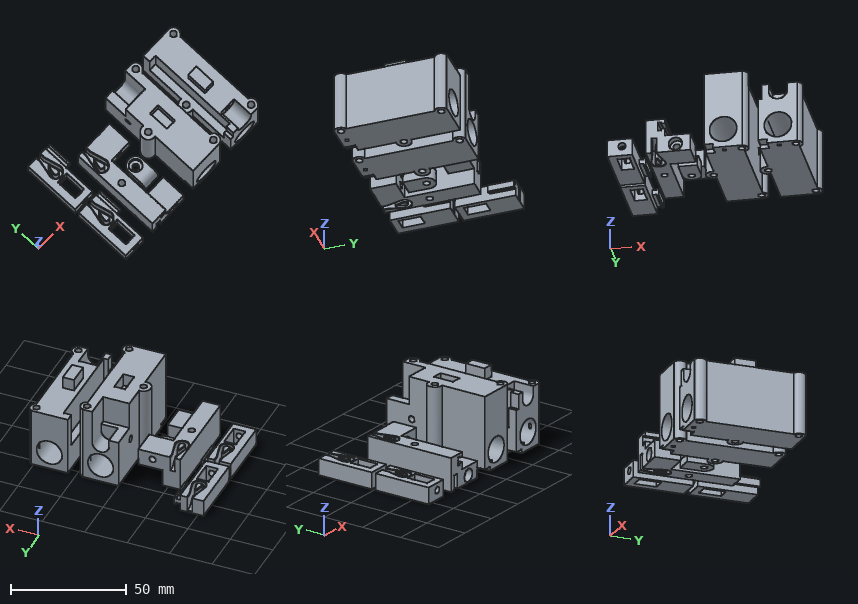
import cadquery as cq
import math

SCREW_DIA = 3.0
HEAD_DIA = 6.0
HALF_STEP = 7.95

CHANNEL_DEPTH = 7.0
CHANNEL_CENTRE = 10.4
CHANNEL_RADIUS = 3.0
NECK_WIDTH = 2.2
NECK_LENGTH = 2.6
ISLAND_RADIUS = 1.45
ISLAND_TIP = 6.0
ISLAND_TIP_RADIUS = 0.4
CHANNEL_CHAMFER = 0.25
MOUTH_OVERRUN = 0.85

CLIP_WIDTH = 11.0
CLIP_LENGTH = 27.95
CLIP_PITCH = 30.0
CLIP_COUNT = 2
CLIP_AXIS_X = 6.5
CLIP_BORE_DIA = 3.2
CLIP_BORE_Z = 4.5
WINDOW_WIDTH = 5.5
WINDOW_FRONT = 3.4
WINDOW_LENGTH = 10.3
RAIL_LENGTH = 12.0
RAIL_DEPTH = 2.9
RAIL_FLANGE = 1.0
RAIL_WEB_HEIGHT = 2.1
RAIL_FLANGE_HEIGHT = 3.3
RAIL_Z = 4.45

CARRIAGE_X = 16.9
CARRIAGE_WIDTH = 19.75
CARRIAGE_LENGTH = 44.0
CARRIAGE_HEIGHT = 2 * HALF_STEP + 0.1
CARRIAGE_WALL = 8.5
FRONT_BLOCK_LENGTH = 12.05
BACK_BLOCK_LENGTH = 12.0
CARRIAGE_CHANNEL_X = 20.6
CARRIAGE_SCREW_X = 21.0
BLOCK_HOLE_X = 30.0
BACK_HOLE_Z = 12.5
FRONT_HOLE_Z = 3.5
FRONT_RECESS_DEPTH = 3.4
SLOT_LENGTH = RAIL_LENGTH
SLOT_DEPTH = 3.1
SLOT_FLANGE = 1.4
SLOT_WEB_HEIGHT = 2.6
SLOT_FLANGE_HEIGHT = 4.0
SLOT_Z = 12.6

LEVER_X = 28.4
LEVER_WIDTH = 8.3
LEVER_FRONT = 15.05
LEVER_HEIGHT = 6.0
LEVER_NOSE_RADIUS = 3.9
LEVER_HOLE_Y = 24.6
LEVER_RECESS_DEPTH = 3.0

HOUSING_LENGTH = 52.0
BORE_DIA = 12.0
BORE_Z = 8.55
DRAIN_DIA = 1.6
DRAIN_Y = 3.1
LUG_RADIUS = 3.0
BOSS_RADIUS = 3.5
BOSS_Y = 26.0
NOTCH_WIDTH = 3.9
NOTCH_LENGTH = 5.1
NOTCH_HEIGHT = 1.9
CRADLE_DROP = 3.3
KEY_Y = 21.0
KEY_LENGTH = 10.0

TALL_X = 42.6
TALL_WIDTH = 16.9
TALL_HEIGHT = 36.0
TALL_AXIS_X = 51.0
TALL_LUG_X = 58.65
TALL_BOSS_X = 42.0
CORNER_CUT_Y = 40.0
CORNER_CUT_Z = 23.0
TALL_CRADLE_RADIUS = 3.9
TALL_CRADLE_LENGTH = 9.8
KEY_POCKET_WIDTH = 5.05
KEY_POCKET_DEPTH = 6.0
SIDE_HOLE_Y = 38.6
SIDE_HOLE_Z = 16.3

SHORT_X = 66.4
SHORT_WIDTH = 17.3
SHORT_HEIGHT = 28.5
SHORT_AXIS_X = 75.15
SHORT_LUG_X = 82.5
SHORT_BOSS_X = 66.0
KEY_WIDTH = 5.2
KEY_HEIGHT = 5.6
SHORT_CRADLE_RADIUS = 4.1
SHORT_CRADLE_LENGTH = 10.1
CRADLE_HOLE_DIA = 2.5
CRADLE_HOLE_DEPTH = 10.0
SIDE_SLOT_FRONT = 4.1
SIDE_SLOT_BACK = 48.05
SIDE_SLOT_WIDTH = 3.7
SIDE_SLOT_FLOOR = 12.5
SLOT_ENTRY_WIDTH = 1.6
SLOT_ENTRY_FLOOR = 21.55


def box(x, y, z, dx, dy, dz):
    """Box with its lowest corner at (x, y, z)."""
    return cq.Workplane("XY").box(dx, dy, dz, centered=False).translate((x, y, z))


def rod_x(radius, x, y, z, length):
    """Cylinder running toward +X from (x, y, z)."""
    return cq.Workplane("YZ").circle(radius).extrude(length).translate((x, y, z))


def rod_y(radius, x, y, z, length):
    """Cylinder running toward +Y from (x, y, z)."""
    return cq.Workplane("XZ").circle(radius).extrude(-length).translate((x, y, z))


def rod_z(radius, x, y, z, length):
    """Cylinder running toward +Z from (x, y, z)."""
    return cq.Workplane("XY").circle(radius).extrude(length).translate((x, y, z))


def flare_tangent(start_x, start_y):
    """Point where the channel's flared side, drawn from the neck, touches its round end."""
    rise = start_y + CHANNEL_CENTRE
    angle = math.atan2(rise, start_x) - math.acos(CHANNEL_RADIUS / math.hypot(start_x, rise))
    return CHANNEL_RADIUS * math.cos(angle), CHANNEL_RADIUS * math.sin(angle) - CHANNEL_CENTRE


def channel_island():
    """Drop with a large round end and a small round tip, its sides tangent to both."""
    tip_centre = -ISLAND_TIP - ISLAND_TIP_RADIUS
    lean = math.asin((ISLAND_RADIUS - ISLAND_TIP_RADIUS) / (tip_centre + CHANNEL_CENTRE))
    tip_x = ISLAND_TIP_RADIUS * math.cos(lean)
    tip_y = tip_centre + ISLAND_TIP_RADIUS * math.sin(lean)
    round_x = ISLAND_RADIUS * math.cos(lean)
    round_y = ISLAND_RADIUS * math.sin(lean) - CHANNEL_CENTRE
    return (
        cq.Workplane("XY")
        .workplane(offset=-CHANNEL_DEPTH)
        .moveTo(-tip_x, tip_y)
        .lineTo(-round_x, round_y)
        .threePointArc((0, -CHANNEL_CENTRE - ISLAND_RADIUS), (round_x, round_y))
        .lineTo(tip_x, tip_y)
        .threePointArc((0, -ISLAND_TIP), (-tip_x, tip_y))
        .close()
        .extrude(CHANNEL_DEPTH)
        .faces(">Z")
        .chamfer(CHANNEL_CHAMFER)
    )


def groove_outline(z):
    """Keyhole outline of the channel at height z, open past the mouth."""
    half_neck = NECK_WIDTH / 2
    side_x, side_y = flare_tangent(half_neck, -NECK_LENGTH)
    return (
        cq.Workplane("XY")
        .workplane(offset=z)
        .moveTo(-half_neck, MOUTH_OVERRUN)
        .lineTo(-half_neck, -NECK_LENGTH)
        .lineTo(-side_x, side_y)
        .threePointArc((0, -CHANNEL_CENTRE - CHANNEL_RADIUS), (side_x, side_y))
        .lineTo(half_neck, -NECK_LENGTH)
        .lineTo(half_neck, MOUTH_OVERRUN)
        .close()
    )


def teardrop_channel():
    """Cutter with its mouth at y=0, running toward -Y, sunk from z=0 downward."""
    groove = groove_outline(-CHANNEL_DEPTH).extrude(CHANNEL_DEPTH)
    rim = groove_outline(-CHANNEL_CHAMFER).extrude(CHANNEL_CHAMFER, taper=-45)
    return groove.union(rim).cut(channel_island())


def tee_bar(root_x, z, length, depth, flange, web_height, flange_height):
    """T section bar along Y from y=0; the web starts at root_x, the flange is at the far end.

    A negative depth makes the bar point toward -X.
    """
    side = math.copysign(1, depth)
    neck_x = root_x + depth - side * flange
    tip_x = root_x + depth
    return (
        cq.Workplane("XZ")
        .moveTo(root_x, z - web_height / 2)
        .lineTo(neck_x, z - web_height / 2)
        .lineTo(neck_x, z - flange_height / 2)
        .lineTo(tip_x, z - flange_height / 2)
        .lineTo(tip_x, z + flange_height / 2)
        .lineTo(neck_x, z + flange_height / 2)
        .lineTo(neck_x, z + web_height / 2)
        .lineTo(root_x, z + web_height / 2)
        .close()
        .extrude(-length)
    )


def make_clip(front_y):
    """Clip with a T rail on its +X side, a window and a teardrop channel."""
    clip = box(0, 0, 0, CLIP_WIDTH, CLIP_LENGTH, HALF_STEP)
    rail = tee_bar(CLIP_WIDTH, RAIL_Z, RAIL_LENGTH, RAIL_DEPTH,
                   RAIL_FLANGE, RAIL_WEB_HEIGHT, RAIL_FLANGE_HEIGHT)
    clip = clip.union(rail.translate((0, CLIP_LENGTH - RAIL_LENGTH, 0)))
    window_x = CLIP_AXIS_X - WINDOW_WIDTH / 2
    clip = clip.cut(box(window_x, WINDOW_FRONT, 0, WINDOW_WIDTH, WINDOW_LENGTH, HALF_STEP))
    clip = clip.cut(teardrop_channel().translate((CLIP_AXIS_X, CLIP_LENGTH, HALF_STEP)))
    bore_length = CLIP_LENGTH - CHANNEL_CENTRE - (CHANNEL_RADIUS + ISLAND_RADIUS) / 2
    clip = clip.cut(rod_y(CLIP_BORE_DIA / 2, CLIP_AXIS_X, 0, CLIP_BORE_Z, bore_length))
    return clip.translate((0, front_y, 0))


def make_carriage():
    """Wall with a low block in front, a high block behind and a T slot for a clip rail."""
    wall_face = CARRIAGE_X + CARRIAGE_WALL
    block_width = CARRIAGE_WIDTH - CARRIAGE_WALL
    back_y = CARRIAGE_LENGTH - BACK_BLOCK_LENGTH
    body = box(CARRIAGE_X, 0, 0, CARRIAGE_WALL, CARRIAGE_LENGTH, CARRIAGE_HEIGHT)
    body = body.union(box(wall_face, 0, 0, block_width, FRONT_BLOCK_LENGTH, HALF_STEP))
    body = body.union(box(wall_face, back_y, HALF_STEP, block_width, BACK_BLOCK_LENGTH,
                          CARRIAGE_HEIGHT - HALF_STEP))

    body = body.cut(tee_bar(wall_face, SLOT_Z, SLOT_LENGTH, -SLOT_DEPTH,
                            SLOT_FLANGE, SLOT_WEB_HEIGHT, SLOT_FLANGE_HEIGHT))

    top_channel = teardrop_channel()
    bottom_channel = top_channel.rotate((0, 0, 0), (1, 0, 0), 180)
    body = body.cut(top_channel.translate((CARRIAGE_CHANNEL_X, CARRIAGE_LENGTH, CARRIAGE_HEIGHT)))
    body = body.cut(bottom_channel.translate((CARRIAGE_CHANNEL_X, 0, 0)))

    screw_radius = SCREW_DIA / 2
    body = body.cut(rod_z(screw_radius, CARRIAGE_SCREW_X, CARRIAGE_LENGTH / 2, 0, CARRIAGE_HEIGHT))
    body = body.cut(rod_y(screw_radius, BLOCK_HOLE_X, back_y, BACK_HOLE_Z, BACK_BLOCK_LENGTH))
    body = body.cut(rod_y(screw_radius, BLOCK_HOLE_X, 0, FRONT_HOLE_Z, FRONT_BLOCK_LENGTH))
    return body.cut(rod_y(HEAD_DIA / 2, BLOCK_HOLE_X, 0, FRONT_HOLE_Z, FRONT_RECESS_DEPTH))


def make_lever():
    """Short arm with a rounded top front edge, rounded in plan at its back end."""
    end_radius = LEVER_WIDTH / 2
    axis_x = LEVER_X + end_radius
    lever = box(LEVER_X, LEVER_FRONT, 0, LEVER_WIDTH, LEVER_HOLE_Y - LEVER_FRONT, LEVER_HEIGHT)
    lever = lever.faces("<Y").edges(">Z").fillet(LEVER_NOSE_RADIUS)
    lever = lever.union(rod_z(end_radius, axis_x, LEVER_HOLE_Y, 0, LEVER_HEIGHT))
    lever = lever.cut(rod_z(SCREW_DIA / 2, axis_x, LEVER_HOLE_Y, 0, LEVER_HEIGHT))
    recess_z = LEVER_HEIGHT - LEVER_RECESS_DEPTH
    return lever.cut(rod_z(HEAD_DIA / 2, axis_x, LEVER_HOLE_Y, recess_z, LEVER_RECESS_DEPTH))


def make_housing_shell(left_x, width, height, axis_x, lug_x, boss_x, boss_height):
    """Block shared by both housings: end lugs, side boss, main bore, drain and corner notch."""
    shell = box(left_x, 0, 0, width, HOUSING_LENGTH, height)
    ears = [
        (lug_x, LUG_RADIUS, LUG_RADIUS, height),
        (lug_x, HOUSING_LENGTH - LUG_RADIUS, LUG_RADIUS, height),
        (boss_x, BOSS_Y, BOSS_RADIUS, boss_height),
    ]
    for x, y, radius, ear_height in ears:
        shell = shell.union(rod_z(radius, x, y, 0, ear_height))
    for x, y, radius, ear_height in ears:
        shell = shell.cut(rod_z(SCREW_DIA / 2, x, y, 0, ear_height))
    shell = shell.cut(rod_y(BORE_DIA / 2, axis_x, 0, BORE_Z, HOUSING_LENGTH))
    shell = shell.cut(rod_z(DRAIN_DIA / 2, axis_x, DRAIN_Y, 0, BORE_Z))
    return shell.cut(box(left_x, 0, 0, NOTCH_WIDTH, NOTCH_LENGTH, NOTCH_HEIGHT))


def cradle(axis_x, y, top_z, radius, length):
    """Cutter for a round-bottomed cradle along Y, open upward at top_z."""
    axis_z = top_z - CRADLE_DROP
    sides = box(axis_x - radius, y, axis_z, 2 * radius, length, CRADLE_DROP)
    return rod_y(radius, axis_x, y, axis_z, length).union(sides)


def make_tall_housing():
    """Tall housing with a stepped rear corner, a cradle in the step and a pocket for the key."""
    housing = make_housing_shell(TALL_X, TALL_WIDTH, TALL_HEIGHT, TALL_AXIS_X,
                                 TALL_LUG_X, TALL_BOSS_X, TALL_HEIGHT)
    corner_width = TALL_AXIS_X + TALL_CRADLE_RADIUS - TALL_X
    housing = housing.cut(box(TALL_X, CORNER_CUT_Y, CORNER_CUT_Z, corner_width,
                              HOUSING_LENGTH - CORNER_CUT_Y, TALL_HEIGHT - CORNER_CUT_Z))
    housing = housing.cut(cradle(TALL_AXIS_X, HOUSING_LENGTH - TALL_CRADLE_LENGTH, CORNER_CUT_Z,
                                 TALL_CRADLE_RADIUS, TALL_CRADLE_LENGTH))
    housing = housing.cut(box(TALL_AXIS_X - KEY_POCKET_WIDTH / 2, KEY_Y,
                              TALL_HEIGHT - KEY_POCKET_DEPTH,
                              KEY_POCKET_WIDTH, KEY_LENGTH, KEY_POCKET_DEPTH))
    return housing.cut(rod_x(SCREW_DIA / 2, TALL_X, SIDE_HOLE_Y, SIDE_HOLE_Z, TALL_WIDTH))


def make_short_housing():
    """Short housing with a raised key, an open cradle in front and a long side slot."""
    housing = make_housing_shell(SHORT_X, SHORT_WIDTH, SHORT_HEIGHT, SHORT_AXIS_X,
                                 SHORT_LUG_X, SHORT_BOSS_X, SIDE_SLOT_FLOOR)
    housing = housing.union(box(SHORT_AXIS_X - KEY_WIDTH / 2, KEY_Y, SHORT_HEIGHT,
                                KEY_WIDTH, KEY_LENGTH, KEY_HEIGHT))
    housing = housing.cut(cradle(SHORT_AXIS_X, 0, SHORT_HEIGHT,
                                 SHORT_CRADLE_RADIUS, SHORT_CRADLE_LENGTH))
    housing = housing.cut(rod_y(CRADLE_HOLE_DIA / 2, SHORT_AXIS_X, SHORT_CRADLE_LENGTH,
                                SHORT_HEIGHT - CRADLE_DROP, CRADLE_HOLE_DEPTH))
    housing = housing.cut(box(SHORT_X, SIDE_SLOT_FRONT, SIDE_SLOT_FLOOR, SIDE_SLOT_WIDTH,
                              SIDE_SLOT_BACK - SIDE_SLOT_FRONT, SHORT_HEIGHT - SIDE_SLOT_FLOOR))
    return housing.cut(box(SHORT_X, 0, SLOT_ENTRY_FLOOR, SLOT_ENTRY_WIDTH, SIDE_SLOT_FRONT,
                           SHORT_HEIGHT - SLOT_ENTRY_FLOOR))


clips = [make_clip(index * CLIP_PITCH) for index in range(CLIP_COUNT)]
carriage = make_carriage()
lever = make_lever()
tall_housing = make_tall_housing()
short_housing = make_short_housing()

result = cq.Compound.makeCompound([
    *[clip.val() for clip in clips],
    carriage.val(),
    lever.val(),
    tall_housing.val(),
    short_housing.val(),
])